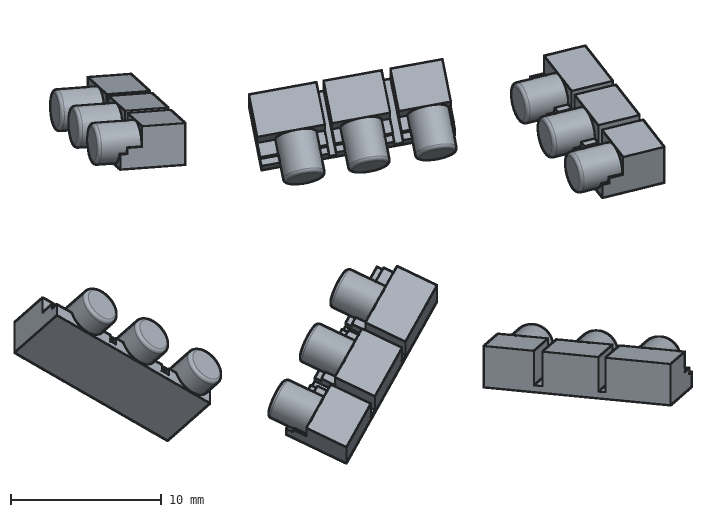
import cadquery as cq

length = 13.07
height = 2.88
total_depth = 6.0

upper_depth = 2.99
middle_depth = 4.0
lower_depth = 4.5
middle_height = 1.46
lower_height = 1.05

gaps = [(4.56, 5.05), (8.97, 9.55)]
bridge_height = 0.48

pin_diameter = 2.8
pin_centers_x = [2.61, 7.0, 11.53]
pin_center_z = height - pin_diameter / 2
pin_tip_fillet = 0.25
pin_embed = 0.65


def stepped_body():
    """Full-length body with two steps down its front side."""
    profile = [
        (0, 0),
        (-lower_depth, 0),
        (-lower_depth, lower_height),
        (-middle_depth, lower_height),
        (-middle_depth, middle_height),
        (-upper_depth, middle_height),
        (-upper_depth, height),
        (0, height),
    ]
    return cq.Workplane("YZ").polyline(profile).close().extrude(length)


def gap_cutter(start, end):
    """Block of air above the bridge joining two neighbouring blocks."""
    size = (end - start, lower_depth, height - bridge_height)
    return (
        cq.Workplane("XY")
        .box(*size, centered=False)
        .translate((start, -lower_depth, bridge_height))
    )


def light_pipe(center_x):
    """Cylinder pointing toward -Y with a rounded tip."""
    return (
        cq.Workplane("XZ", origin=(center_x, -upper_depth + pin_embed, pin_center_z))
        .circle(pin_diameter / 2)
        .extrude(total_depth - upper_depth + pin_embed)
        .faces("<Y")
        .edges()
        .fillet(pin_tip_fillet)
    )


result = stepped_body()
for gap_start, gap_end in gaps:
    result = result.cut(gap_cutter(gap_start, gap_end))
for pin_x in pin_centers_x:
    result = result.union(light_pipe(pin_x))